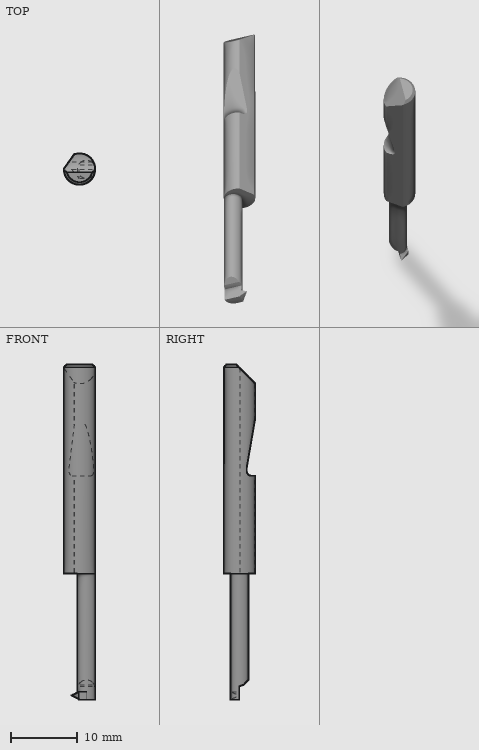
import cadquery as cq

total_length = 50.8
shank_radius = 2.4
shank_bottom = 19.1
end_chamfer = 0.4

slant_start_y = -0.5
notch_top = 42.55
notch_floor_y = 1.1
notch_floor_top = 35.2
notch_bottom = 33.95
notch_corner_radius = 0.7

flat_side_edge = (-2.4, 0.05)
flat_back_edge = (-0.8, 2.25)

neck_radius = 1.35
neck_x = shank_radius - neck_radius

rake_slope_top = 3.05
rake_slope_bottom = 2.3
rake_step_y = 0.65
rake_top = 2.05
head_top = 1.2
tooth_tip_x = -1.2
tooth_tip_z = 0.65
tooth_root_x = -0.1
tooth_root_bottom = 0.1

cut_span = 4 * shank_radius


def cut_along_x(points):
    """Prism with a (Y, Z) outline, crossing the whole part in X."""
    return cq.Workplane("YZ").polyline(points).close().extrude(cut_span / 2, both=True)


def make_shank():
    shank = (
        cq.Workplane("XY")
        .workplane(offset=shank_bottom)
        .circle(shank_radius)
        .extrude(total_length - shank_bottom)
        .faces(">Z")
        .chamfer(end_chamfer)
    )
    slant = cut_along_x([
        (slant_start_y, total_length),
        (slant_start_y + cut_span, total_length),
        (slant_start_y + cut_span, total_length - cut_span),
    ])
    flat = (
        cq.Workplane("XY")
        .polyline([
            flat_side_edge,
            flat_back_edge,
            (-shank_radius, shank_radius),
        ])
        .close()
        .extrude(total_length)
    )
    return shank.cut(slant).cut(flat).cut(make_notch())


def make_notch():
    """Ramp down to a shallow floor, closed by a rounded step."""
    corner_y = notch_floor_y + notch_corner_radius
    corner_z = notch_bottom + notch_corner_radius
    return (
        cq.Workplane("YZ")
        .moveTo(shank_radius, notch_top)
        .lineTo(notch_floor_y, notch_floor_top)
        .lineTo(notch_floor_y, corner_z)
        .radiusArc((corner_y, notch_bottom), -notch_corner_radius)
        .lineTo(shank_radius, notch_bottom)
        .close()
        .extrude(cut_span / 2, both=True)
    )


def make_neck():
    neck = cq.Workplane("XY").center(neck_x, 0).circle(neck_radius).extrude(shank_bottom)
    rake_relief = cut_along_x([
        (0, 0),
        (0, rake_top),
        (rake_step_y, rake_slope_bottom),
        (neck_radius, rake_slope_top),
        (neck_radius, 0),
    ])
    tooth_seat = (
        cq.Workplane("XY")
        .rect(cut_span, cut_span)
        .extrude(head_top)
        .translate((tooth_root_x - cut_span / 2, 0, 0))
    )
    return neck.cut(rake_relief).cut(tooth_seat)


def make_head():
    """Pointed tooth whose flank recedes from the rake face."""
    front_profile = (
        cq.Workplane("XZ")
        .polyline([
            (tooth_tip_x, tooth_tip_z),
            (tooth_root_x, head_top),
            (neck_x, head_top),
            (neck_x, 0),
            (tooth_root_x, 0),
            (tooth_root_x, tooth_root_bottom),
        ])
        .close()
        .extrude(neck_radius)
    )
    plan_profile = (
        cq.Workplane("XY")
        .polyline([
            (tooth_tip_x, 0),
            (neck_x, 0),
            (neck_x, -neck_radius),
            (tooth_root_x, -neck_radius),
        ])
        .close()
        .extrude(head_top)
    )
    return front_profile.intersect(plan_profile)


result = make_shank().union(make_neck()).union(make_head())